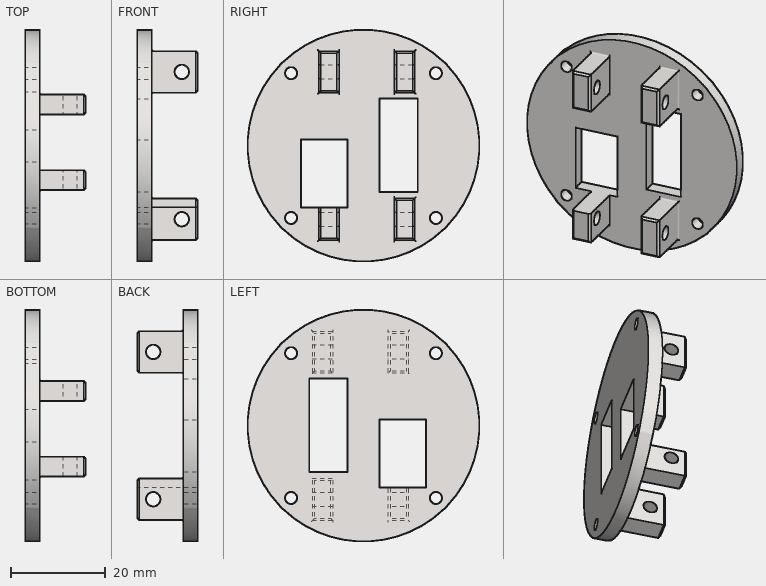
import cadquery as cq

plate_diameter = 48.8
plate_thickness = 3.05
overall_depth = 12.75

screw_hole_diameter = 2.5
screw_hole_spacing = 30.45
ear_diameter = 5.85

tall_window_width = 8.0
tall_window_height = 19.6
tall_window_y = 7.35
tall_window_z = 0.05
short_window_width = 9.7
short_window_height = 14.25
short_window_y = -8.25
short_window_z = -5.85

post_width = 4.25
post_height = 8.8
post_length = overall_depth - plate_thickness
post_pair_center_y = 0.7
post_spacing_y = 15.9
post_spacing_z = 31.0
cross_hole_diameter = 3.0
cross_hole_x = 9.35
post_tip_chamfer = 0.45
post_root_fillet = 0.3


def make_posts():
    """Posts standing on the +X face, with chamfered tip edges."""
    return (
        cq.Workplane("YZ", origin=(plate_thickness, post_pair_center_y, 0))
        .rarray(post_spacing_y, post_spacing_z, 2, 2)
        .rect(post_width, post_height)
        .extrude(post_length)
        .faces(">X")
        .edges()
        .chamfer(post_tip_chamfer)
    )


def is_outer_root_edge(edge):
    """Tell whether an edge joins a post to the plate, leaving out the faces between the two columns."""
    tolerance = 0.005
    box = edge.BoundingBox()
    on_plate_face = abs(box.xmin - plate_thickness) < tolerance and box.xlen < tolerance
    inner_reach = (post_spacing_y - post_width) / 2
    center_offset = abs(edge.Center().y - post_pair_center_y)
    on_inner_face = abs(center_offset - inner_reach) < tolerance
    return on_plate_face and edge.geomType() == "LINE" and not on_inner_face


def window_cutter(width, height, y, z):
    """Rectangular cutter running the full depth of the part."""
    return cq.Workplane("YZ", origin=(0, y, z)).rect(width, height).extrude(overall_depth)


def cross_hole_cutter():
    """Upper and lower holes that run along Y through the posts."""
    return (
        cq.Workplane("XZ", origin=(cross_hole_x, 0, 0))
        .rarray(0.5, post_spacing_z, 1, 2)
        .circle(cross_hole_diameter / 2)
        .extrude(plate_diameter / 2, both=True)
    )


def screw_hole_discs(diameter):
    """Four plate-thick discs at the screw hole positions."""
    return (
        cq.Workplane("YZ")
        .rect(screw_hole_spacing, screw_hole_spacing, forConstruction=True)
        .vertices()
        .circle(diameter / 2)
        .extrude(plate_thickness)
    )


plate = cq.Workplane("YZ").circle(plate_diameter / 2).extrude(plate_thickness)
plate = plate.union(screw_hole_discs(ear_diameter))
result = plate.union(make_posts())
result = result.edges("|Y or |Z").filter(is_outer_root_edge).fillet(post_root_fillet)
result = result.cut(cross_hole_cutter()).cut(screw_hole_discs(screw_hole_diameter))

result = result.cut(window_cutter(tall_window_width, tall_window_height, tall_window_y, tall_window_z))
result = result.cut(window_cutter(short_window_width, short_window_height, short_window_y, short_window_z))